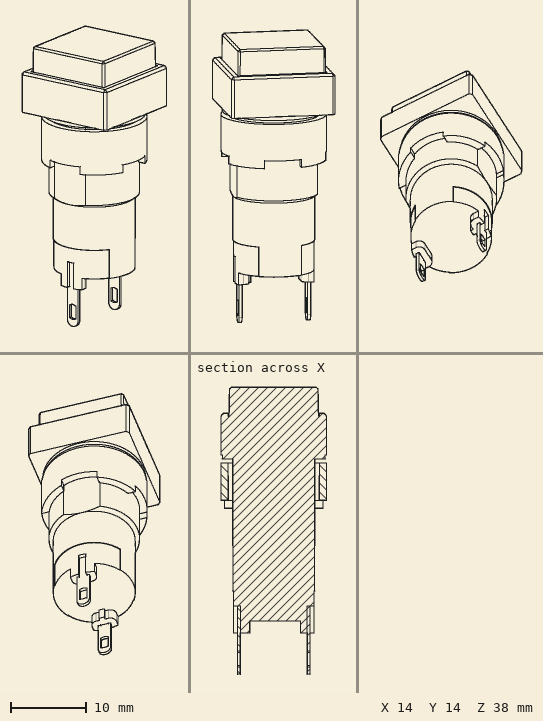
import cadquery as cq
button_top = 38.0
bezel_top = 34.55
bezel_bottom = 29.0
flange_bottom = 28.45
nut_top = 27.95
nut_notch_top = 23.03
nut_bottom = 21.95
thread_chamfer_top = 17.45
thread_bottom = 17.02
panel_top = 11.02
slot_top = 9.0
barrel_bottom = 7.03
tab_bottom = 5.45

bezel_width = 14.0
bezel_chamfer = 0.35
button_width = 11.85
button_chamfer = 0.25
button_draft = 0.8
groove_width = 0.08
groove_depth = 0.38

flange_radius = 6.85
thread_radius = 6.0
barrel_radius = 5.45
nut_radius = bezel_width / 2
nut_notch_width = 4.95
notch_angles = (0, 90)

panel_radius = 5.35
panel_inner_y = 2.9
tab_width = 3.4
tab_inner_y = 3.55
tab_corner_radius = 0.85
key_width = 0.75
key_inner_y = 3.15

terminal_width = 1.75
terminal_thickness = 0.4
terminal_outer_y = 4.83
terminal_inner_y = terminal_outer_y - terminal_thickness
neck_width = 1.03
eye_width = 1.03
eye_bottom = 1.0
eye_top = 3.05
eye_end_rise = 0.15

side_angles = (0, 180)


def cylinder(radius, bottom, top):
    return cq.Workplane("XY").workplane(offset=bottom).circle(radius).extrude(top - bottom)


def box(x_size, y_min, y_max, bottom, top):
    """Box centred on X that spans the given Y and Z limits."""
    return (
        cq.Workplane("XY")
        .box(x_size, y_max - y_min, top - bottom, centered=(True, False, False))
        .translate((0, y_min, bottom))
    )


def square_block(width, bottom, top):
    return box(width, -width / 2, width / 2, bottom, top)


def make_head():
    """Square bezel with the button standing in it, set off by a narrow groove."""
    groove_bottom = bezel_top - groove_depth
    bezel = square_block(bezel_width, bezel_bottom, bezel_top).edges("not <Z").chamfer(bezel_chamfer)
    opening = square_block(button_width + 2 * groove_width, groove_bottom, bezel_top)
    button = (
        cq.Workplane("XY", origin=(0, 0, groove_bottom))
        .rect(button_width, button_width)
        .extrude(button_top - groove_bottom, taper=button_draft)
        .edges("not <Z").chamfer(button_chamfer)
    )
    return bezel.cut(opening).union(button)


def make_thread():
    """Thick upper barrel, chamfered below and flattened on the -Y and +Y sides."""
    chamfer_height = thread_chamfer_top - thread_bottom
    thread = (
        cylinder(thread_radius, thread_bottom, flange_bottom)
        .faces("<Z").edges().chamfer(chamfer_height, thread_radius - barrel_radius)
    )
    flats = box(2 * thread_radius, -barrel_radius, barrel_radius, thread_bottom, flange_bottom)
    return thread.intersect(flats)


def make_barrel():
    """Lower barrel with a shallow recessed panel on the -Y and +Y sides."""
    barrel = cylinder(barrel_radius, barrel_bottom, thread_bottom)
    panel_shell = cylinder(barrel_radius, barrel_bottom, panel_top).cut(
        cylinder(panel_radius, barrel_bottom, panel_top)
    )
    between_panels = box(2 * barrel_radius, -panel_inner_y, panel_inner_y, barrel_bottom, panel_top)
    return barrel.cut(panel_shell.cut(between_panels))


def make_tab():
    """Tab under the -Y panel, flush with it outside and rounded at its inner corners."""
    blank = box(tab_width, -panel_radius, -tab_inner_y, tab_bottom, barrel_bottom)
    rounded = blank.edges("|Z and >Y").fillet(tab_corner_radius)
    return rounded.intersect(cylinder(panel_radius, tab_bottom, barrel_bottom))


def make_slot():
    """Slot in the -Y panel and tab that holds the terminal neck and leaves it open outside."""
    return box(neck_width, -barrel_radius, -terminal_inner_y, tab_bottom, slot_top)


def make_terminal():
    """Flat blade on the -Y side: narrow neck above, rounded tip and an eye below."""
    half_width = terminal_width / 2
    half_neck = neck_width / 2
    half_eye = eye_width / 2
    plane = cq.Workplane("XZ", origin=(0, -terminal_inner_y, 0))
    blade = (
        plane.moveTo(-half_neck, slot_top)
        .lineTo(half_neck, slot_top)
        .lineTo(half_neck, tab_bottom)
        .lineTo(half_width, tab_bottom)
        .lineTo(half_width, half_width)
        .threePointArc((0, 0), (-half_width, half_width))
        .lineTo(-half_width, tab_bottom)
        .lineTo(-half_neck, tab_bottom)
        .close()
        .extrude(terminal_thickness)
    )
    eye = (
        plane.moveTo(-half_eye, eye_bottom + eye_end_rise)
        .threePointArc((0, eye_bottom), (half_eye, eye_bottom + eye_end_rise))
        .lineTo(half_eye, eye_top - eye_end_rise)
        .threePointArc((0, eye_top), (-half_eye, eye_top - eye_end_rise))
        .close()
        .extrude(terminal_thickness)
    )
    return blade.cut(eye)


def on_side(shape, angle):
    """Turn a -Y side shape about the Z axis: 0 keeps it, 180 puts it on the +Y side."""
    return shape.rotate((0, 0, 0), (0, 0, 1), angle)


def make_housing():
    housing = (
        make_head()
        .union(cylinder(flange_radius, flange_bottom, bezel_bottom))
        .union(make_thread())
        .union(make_barrel())
    )
    for angle in side_angles:
        housing = housing.union(on_side(make_tab(), angle)).cut(on_side(make_slot(), angle))
    key = box(key_width, key_inner_y, terminal_inner_y, tab_bottom, barrel_bottom)
    return housing.union(key)


def make_nut():
    """Ring nut with four wrench notches in its lower edge."""
    nut = cylinder(nut_radius, nut_bottom, nut_top).cut(cylinder(thread_radius, nut_bottom, nut_top))
    notch = box(nut_notch_width, -nut_radius, nut_radius, nut_bottom, nut_notch_top)
    for angle in notch_angles:
        nut = nut.cut(on_side(notch, angle))
    return nut


housing = make_housing()
nut = make_nut()
terminals = [on_side(make_terminal(), angle) for angle in side_angles]

result = cq.Compound.makeCompound(
    [housing.val(), nut.val(), *[terminal.val() for terminal in terminals]]
)